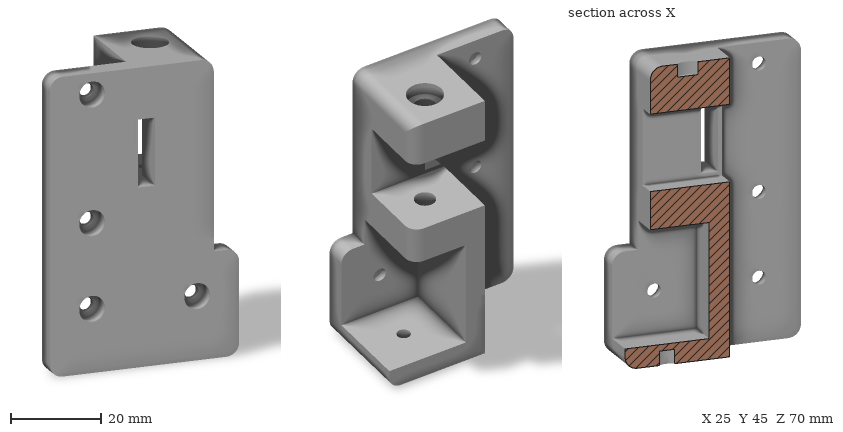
import cadquery as cq

width = 25.0
depth = 45.0
height = 70.0

plate_thickness = 5.0
plate_front = width - plate_thickness
lobe_height = 25.0
upper_back = 39.0
corner_radius = 3.0

block_front = 20.0

slot_bottom = 41.0
slot_top = 59.0
slot_depth = 17.0

window_front = 21.0
window_back = 25.0
window_bottom = 42.0
window_top = 57.9

pocket_front = window_back
pocket_bottom = plate_thickness
pocket_top = 32.0

pin_x = 9.0
pin_y = 30.0
pin_diameter = 5.0
pin_head_diameter = 8.5
pin_head_depth = 3.0

screw_diameter = 3.2
screw_head_diameter = 6.1
screw_head_depth = 3.35
screw_inset = 10.0
lower_screw_z = 15.0
screw_places = [
    (screw_inset, lower_screw_z),
    (screw_inset, 35.0),
    (screw_inset, 65.0),
    (depth - screw_inset, lower_screw_z),
]

floor_screw_x = 10.0
floor_screw_y = depth - screw_inset


def box_between(x_range, y_range, z_range):
    """Box spanning the given (low, high) range along each axis."""
    sizes = [high - low for low, high in (x_range, y_range, z_range)]
    return (
        cq.Workplane("XY")
        .box(*sizes, centered=False)
        .translate((x_range[0], y_range[0], z_range[0]))
    )


def make_profile():
    """Full-width solid with the plate outline and its rounded outer corners."""
    base = box_between((0, width), (0, depth), (0, lobe_height))
    base = base.edges("|X").edges(">Y or (<Y and <Z)").fillet(corner_radius)
    upper = box_between((0, width), (0, upper_back), (lobe_height / 2, height))
    upper = upper.edges("|X and >Z").fillet(corner_radius)
    return base.union(upper)


def make_body():
    """Plate and pocketed block, with the block's upper outer edge rounded."""
    profile = make_profile()
    beside_block = box_between((0, plate_front), (0, block_front), (0, height))
    pocket = box_between((0, plate_front), (pocket_front, depth), (pocket_bottom, pocket_top))
    body = profile.cut(beside_block).cut(pocket)
    return body.cut(make_edge_rounding())


def make_edge_rounding():
    """Waste outside the rounded vertical edge above the pocket."""
    corner = box_between((0, corner_radius), (upper_back - corner_radius, upper_back), (pocket_top, height))
    round_part = (
        cq.Workplane("XY", origin=(corner_radius, upper_back - corner_radius, pocket_top))
        .circle(corner_radius)
        .extrude(height - pocket_top)
    )
    return corner.cut(round_part)


def make_slot():
    """Slot across the block together with the window behind it."""
    slot = box_between((0, slot_depth), (block_front, upper_back), (slot_bottom, slot_top))
    window = box_between((slot_depth, width), (window_front, window_back), (window_bottom, window_top))
    return slot.union(window)


def make_pin_bore():
    """Stepped pin bore, from the top face down into the pocket."""
    top = cq.Workplane("XY", origin=(pin_x, pin_y, height))
    bore_length = height - pocket_top
    bore = top.circle(pin_diameter / 2).extrude(-bore_length)
    head = top.circle(pin_head_diameter / 2).extrude(-pin_head_depth)
    return bore.union(head)


def make_screw_holes(outer_face, places):
    """Screw holes through one wall, sunk against the normal of its outer face."""
    points = outer_face.pushPoints(places)
    shanks = points.circle(screw_diameter / 2).extrude(-plate_thickness)
    heads = points.circle(screw_head_diameter / 2).extrude(-screw_head_depth)
    return shanks.union(heads)


plate_face = cq.Workplane("YZ", origin=(width, 0, 0))
floor_face = cq.Workplane(cq.Plane(origin=(0, 0, 0), xDir=(1, 0, 0), normal=(0, 0, -1)))
plate_screws = make_screw_holes(plate_face, screw_places)
floor_screw = make_screw_holes(floor_face, [(floor_screw_x, -floor_screw_y)])

result = make_body().cut(make_slot()).cut(make_pin_bore()).cut(plate_screws).cut(floor_screw)